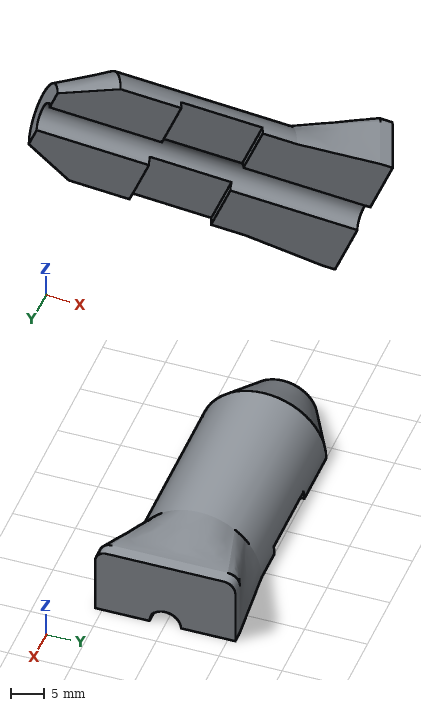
import cadquery as cq
import math

length = 52.1
nose_length = 8.4
flare_start = 37.1
end_block_length = 2.05
flare_end = length - end_block_length

body_radius = 10.0
nose_radius = 5.55
bore_radius = 2.5

end_width = 22.3
end_height = 11.35
corner_radius = 1.9

corner_arc_angle = 11.4
flare_twist = 4.2

notch_start = 18.25
notch_length = 13.25
notch_height = 1.4


def half_disc(plane, radius):
    """Upper half of a disc, with its straight side on Z = 0."""
    return plane.moveTo(radius, 0).threePointArc((0, radius), (-radius, 0)).close()


def circle_point(radius, angle, center=(0, 0)):
    """Point on a circle at an angle in degrees, measured from +Y towards +Z."""
    turn = math.radians(angle)
    return (center[0] + radius * math.cos(turn), center[1] + radius * math.sin(turn))


def split_circle(plane):
    """Full circle split into four corner arcs and four arcs facing the flats."""
    half_arc = corner_arc_angle / 2
    first_angle = 45 + flare_twist
    plane = plane.moveTo(*circle_point(body_radius, first_angle - half_arc))
    for quarter in range(4):
        corner = first_angle + 90 * quarter
        next_corner = corner + 90
        plane = plane.threePointArc(
            circle_point(body_radius, corner), circle_point(body_radius, corner + half_arc)
        )
        plane = plane.threePointArc(
            circle_point(body_radius, corner + 45), circle_point(body_radius, next_corner - half_arc)
        )
    return plane.close()


def rounded_rectangle(plane):
    """Full rounded rectangle centred on the axis, twice as tall as the finished end."""
    center_y = end_width / 2 - corner_radius
    center_z = end_height - corner_radius
    centers = [
        (center_y, center_z),
        (-center_y, center_z),
        (-center_y, -center_z),
        (center_y, -center_z),
    ]
    plane = plane.moveTo(*circle_point(corner_radius, 0, centers[0]))
    for quarter, center in enumerate(centers):
        start_angle = 90 * quarter
        end_angle = start_angle + 90
        next_center = centers[(quarter + 1) % 4]
        plane = plane.threePointArc(
            circle_point(corner_radius, start_angle + 45, center),
            circle_point(corner_radius, end_angle, center),
        )
        plane = plane.lineTo(*circle_point(corner_radius, end_angle, next_center))
    return plane.close()


def cross_section(x):
    """Workplane across the part at the given X: local axes are Y and Z."""
    return cq.Workplane("YZ", origin=(x, 0, 0))


nose_tip = half_disc(cross_section(0), nose_radius)
nose = half_disc(nose_tip.workplane(offset=nose_length), body_radius).loft(ruled=True)

body = half_disc(cross_section(nose_length), body_radius).extrude(flare_start - nose_length)

flare_base = split_circle(cross_section(flare_start))
full_flare = rounded_rectangle(flare_base.workplane(offset=flare_end - flare_start)).loft(ruled=True)
full_end = rounded_rectangle(cross_section(flare_end)).extrude(end_block_length)
upper_half = cq.Workplane("XY").box(length, end_width, end_height, centered=(False, True, False))
flare = full_flare.intersect(upper_half)
end_block = full_end.intersect(upper_half)

bore = cross_section(0).circle(bore_radius).extrude(length)

notch = cq.Workplane("XY").box(notch_length, end_width, notch_height, centered=(False, True, False))
notch = notch.translate((notch_start, 0, 0))

result = nose.union(body).union(flare).union(end_block).cut(bore).cut(notch)